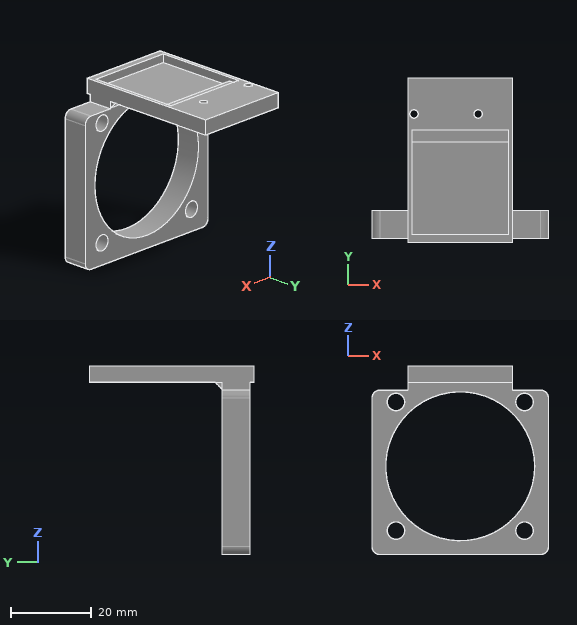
import cadquery as cq

total_height = 47.0
frame_width = 44.0
frame_height = 41.0
frame_thickness = 7.0
corner_radius = 2.0

bore_diameter = 37.0
bore_height = frame_width / 2
screw_diameter = 4.3
screw_pitch = 32.0

plate_width = 26.1
plate_length = 41.0
plate_thickness = 4.1
plate_bottom = total_height - plate_thickness
front_overhang = 1.0

pocket_width = 24.05
pocket_length = 26.0
pocket_front_wall = 2.05
ledge_length = 3.05
ledge_depth = 1.0
pocket_depth = 2.3

pin_diameter = 2.0
pin_from_back = 9.0
pin_positions_x = (-11.5, 4.45)

gusset_size = 1.75
gusset_width = 25.9


def block(width, length, height, front, bottom):
    """Box centred on X, starting at the given front Y and bottom Z."""
    return (
        cq.Workplane("XY")
        .box(width, length, height, centered=(True, False, False))
        .translate((0, front, bottom))
    )


def make_frame():
    frame = block(frame_width, frame_thickness, frame_height, 0, 0)
    return frame.edges("|Y").fillet(corner_radius)


def make_plate():
    return block(plate_width, plate_length, plate_thickness, -front_overhang, plate_bottom)


def make_neck():
    """Join the frame to the plate, starting at the height of the bore centre."""
    return block(plate_width, frame_thickness, plate_bottom - bore_height, 0, bore_height)


def make_gusset():
    back = frame_thickness
    return (
        cq.Workplane("YZ", origin=(-gusset_width / 2, 0, 0))
        .polyline([
            (back, plate_bottom),
            (back + gusset_size, plate_bottom),
            (back, plate_bottom - gusset_size),
        ])
        .close()
        .extrude(gusset_width)
    )


def make_frame_holes():
    face = cq.Workplane("XZ", origin=(0, 0, bore_height))
    bore = face.circle(bore_diameter / 2).extrude(-frame_thickness)
    screws = (
        face.rect(screw_pitch, screw_pitch, forConstruction=True)
        .vertices()
        .circle(screw_diameter / 2)
        .extrude(-frame_thickness)
    )
    return bore.union(screws)


def make_pocket():
    front = pocket_front_wall - front_overhang
    shallow = block(pocket_width, pocket_length, ledge_depth, front, total_height - ledge_depth)
    deep_length = pocket_length - ledge_length
    deep = block(pocket_width, deep_length, pocket_depth, front, total_height - pocket_depth)
    return shallow.union(deep)


def make_pin_holes():
    pin_y = plate_length - front_overhang - pin_from_back
    return (
        cq.Workplane("XY", origin=(0, 0, plate_bottom))
        .pushPoints([(x, pin_y) for x in pin_positions_x])
        .circle(pin_diameter / 2)
        .extrude(plate_thickness)
    )


body = make_frame().union(make_neck()).union(make_plate()).union(make_gusset())
result = body.cut(make_frame_holes()).cut(make_pocket()).cut(make_pin_holes())